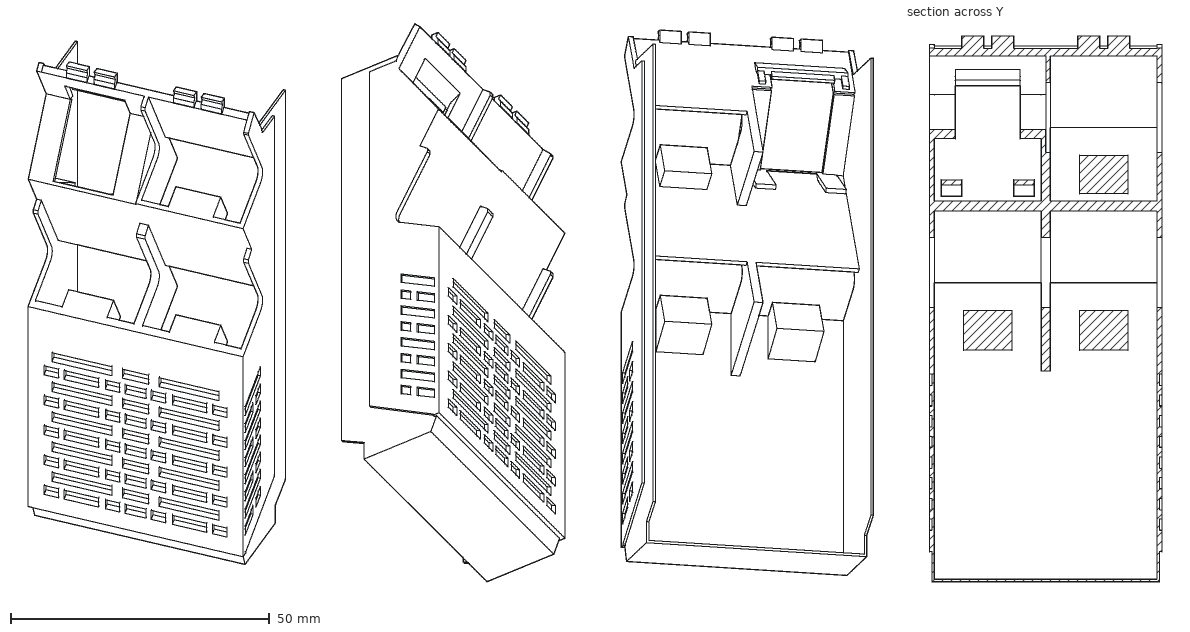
import cadquery as cq
import math

WIDTH = 45.0
DEPTH = 22.76
HEIGHT = 105.49

SKIN = 0.5
LINER = 0.5
FRONT_WALL = 1.4
PLATE = 1.0
RIB_HALF = 0.9
FLOOR = 0.5

HALF = WIDTH / 2
LINER_OUT = HALF - SKIN
LINER_IN = LINER_OUT - LINER

TILT = math.radians(30)
RISE = math.tan(TILT)
ALONG_Y = math.sin(TILT)
ALONG_Z = math.cos(TILT)

CELL_PITCH = 30.0
LOWER_Z = 50.19
UPPER_Z = LOWER_Z + CELL_PITCH
PLATE_END = 7.58
TIP_Y = 2.72
TIP_LOW = 20.17
TIP_HIGH = 20.97
TIP_ROOT_Y = 4.4
TIP_ROOT = CELL_PITCH - TIP_ROOT_Y / RISE
CELL_ROUND = 2.3
RIB_REAR_Y = 19.2
UPPER_RIB_FOOT_Y = 6.0

TOP_FRONT_Y = 5.6
TOP_Z = 103.85
PLATE_TOP = (5.44, 103.55)
LINER_TOP = 98.13
SKIN_REAR_Y = 16.0
SKIN_TOP = 96.43
SKIN_TOP_Y = 9.92
SKIN_LOW_Z = 12.3
PLATE_BACK_Y = 9.12
FRONT_LOW_Z = 3.37
LINER_FRONT_Y = 0.9
FOOT_FRONT_Y = 2.24
FOOT_REAR_Y = 17.6
FOOT_REAR_Z = 4.2
LINER_REAR_Z = 7.0

WINDOW_PLATE_Z = 79.9
WINDOW_PLATE_TOP_Z = 94.19
WINDOW_WIDTH = 12.5
WINDOW_X = -11.2
WINDOW_LOW = 80.5
WINDOW_HIGH = 99.05

COLLAR_WIDTH = 18.0
ROOF_HEIGHT = 1.35
ROOF_END_Y = 9.9
HOOK_WIDTH = 1.3
HOOK_LENGTH = 2.7
LIP_LENGTH = 1.3
LIP_DEPTH = 0.2
ARM_LENGTH = 9.8
ARM_THICKNESS = 0.9
ARM_GAP = 10.0

BLOCK_X = -WINDOW_X
BLOCK_WIDTH = 9.4
BLOCK_REAR_Y = 4.7
BLOCK_LENGTH = 7.0

CLIP_WIDTH = 4.28
CLIP_CENTERS = (8.3, 14.1)
CLIP_FRONT_Y = 4.3
CLIP_REAR_Y = 5.76
CLIP_LOW_Z = 102.6
CLIP_GROOVE = 0.45
CLIP_GROOVE_Z = 104.65
CLIP_GROOVE_HALF = HEIGHT - CLIP_GROOVE_Z

SLOT_HEIGHT = 2.1
SLOT_ROWS_FRONT = 10
SLOT_PITCH_FRONT = 3.5
SLOT_TOP_FRONT = 40.7
SLOT_DEPTH_FRONT = 0.9
WIDE_SLOTS = ((0, 5.5), (WINDOW_X, WINDOW_WIDTH), (-WINDOW_X, WINDOW_WIDTH))
NARROW_SLOTS = ((0, 4.4), (-4.8, 3.0), (4.8, 3.0), (-11.3, 7.2), (11.3, 7.2), (-17.6, 3.0), (17.6, 3.0))
SLOT_ROWS_SIDE = 8
SLOT_PITCH_SIDE = 4.0
SLOT_TOP_SIDE = 37.2
LONG_SLOTS = ((1.12, 8.8),)
SHORT_SLOTS = ((1.12, 5.12), (6.56, 8.8))

CLEAR = 5.0


def prism(points, x0, x1):
    """Extrude a closed (Y, Z) outline from x0 to x1."""
    return cq.Workplane("YZ", origin=(x0, 0, 0)).polyline(points).close().extrude(x1 - x0)


def plate_y(cell_z, z):
    """Y of the front face of the 60 degree plate above a cell."""
    return (cell_z + CELL_PITCH - z) * RISE


def plate_back_y(cell_z, z):
    return plate_y(cell_z, z) + PLATE / ALONG_Z


def window_plate_low():
    """Lower front edge of the windowed plate, on the face of the middle plate."""
    return plate_y(LOWER_Z, WINDOW_PLATE_Z), WINDOW_PLATE_Z


def window_plate_top():
    """Upper front edge of the windowed plate, on the face of the top plate."""
    return plate_y(UPPER_Z, WINDOW_PLATE_TOP_Z), WINDOW_PLATE_TOP_Z


def window_normal():
    """Unit (Y, Z) vector pointing rearward out of the windowed plate."""
    low_y, low_z = window_plate_low()
    top_y, top_z = window_plate_top()
    length = math.hypot(top_y - low_y, top_z - low_z)
    return (top_z - low_z) / length, (low_y - top_y) / length


def window_sill():
    """Front edge of the window sill."""
    low_y, low_z = window_plate_low()
    top_y, top_z = window_plate_top()
    share = (WINDOW_LOW - low_z) / (top_z - low_z)
    return low_y + share * (top_y - low_y), WINDOW_LOW


def front_top_edge():
    """Points of the wall outline from the front base line to the top of the slanted end."""
    slope = (TOP_Z - LOWER_Z - CELL_PITCH - TIP_ROOT) / (TOP_FRONT_Y - TIP_ROOT_Y)
    return [(0, TOP_Z - slope * TOP_FRONT_Y), (TOP_FRONT_Y, TOP_Z)]


def liner(x0):
    outline = front_top_edge() + [
        (PLATE_BACK_Y, LINER_TOP),
        (DEPTH, LINER_TOP),
        (DEPTH, LINER_REAR_Z),
        (FOOT_REAR_Y, FOOT_REAR_Z),
        (FOOT_REAR_Y, 0),
        (FOOT_FRONT_Y, 0),
        (LINER_FRONT_Y, FRONT_LOW_Z),
        (0, FRONT_LOW_Z),
    ]
    return prism(outline, x0, x0 + LINER)


def skin(x0):
    outline = front_top_edge() + [
        (PLATE_BACK_Y, LINER_TOP),
        (SKIN_TOP_Y, SKIN_TOP),
        (SKIN_REAR_Y, SKIN_TOP),
        (SKIN_REAR_Y, SKIN_LOW_Z),
        (LINER_FRONT_Y, FRONT_LOW_Z),
        (0, FRONT_LOW_Z),
    ]
    return prism(outline, x0, x0 + SKIN)


def front_wall():
    outline = [
        (0, FRONT_LOW_Z),
        (0, LOWER_Z),
        (FRONT_WALL, LOWER_Z + FRONT_WALL * RISE),
        (FRONT_WALL, FRONT_LOW_Z),
    ]
    return prism(outline, -HALF, HALF)


def foot():
    outline = [
        (LINER_FRONT_Y, FRONT_LOW_Z),
        (FOOT_FRONT_Y, 0),
        (FOOT_REAR_Y, 0),
        (FOOT_REAR_Y, FLOOR),
        (FOOT_FRONT_Y + FLOOR, FLOOR),
        (FRONT_WALL, FRONT_LOW_Z),
    ]
    return prism(outline, -LINER_OUT, LINER_OUT)


def rib_lower_z(cell_z, y):
    """Height of the 30 degree lower edge of a rib."""
    rear_z = cell_z + CELL_PITCH - (RIB_REAR_Y - PLATE / ALONG_Z) / RISE
    return rear_z - (RIB_REAR_Y - y) * RISE


def rib(cell_z, foot_y):
    """Central rib: rear corner square to the plate, lower edge ending at foot_y."""
    top_z = cell_z + TIP_ROOT
    outline = [
        (foot_y, rib_lower_z(cell_z, foot_y)),
        (RIB_REAR_Y, rib_lower_z(cell_z, RIB_REAR_Y)),
        (plate_back_y(cell_z, top_z), top_z),
        (TIP_Y, top_z),
        (0, cell_z + TIP_LOW),
        (0, cell_z),
    ]
    return prism(outline, -RIB_HALF, RIB_HALF)


def cell_opening(cell_z, x0, x1):
    """Space in front of the side walls and rib of one cell, with a rounded inner corner."""
    corner_y = (TIP_Y + TIP_LOW * RISE) / (1 + RISE * RISE)
    corner_z = cell_z + corner_y * RISE
    outline = [
        (-CLEAR, cell_z - CLEAR * RISE),
        (corner_y, corner_z),
        (TIP_Y, cell_z + TIP_LOW),
        (TIP_Y, cell_z + TIP_HIGH),
        (TIP_ROOT_Y, cell_z + TIP_ROOT),
        (0, cell_z + CELL_PITCH),
        (-CLEAR, cell_z + CELL_PITCH),
    ]
    opening = prism(outline, x0, x1)
    inner_corner = cq.selectors.NearestToPointSelector(((x0 + x1) / 2, corner_y, corner_z))
    return opening.edges("|X").edges(inner_corner).fillet(CELL_ROUND)


def plate(cell_z, x0, x1, top_front, top_back, end_z):
    """60 degree plate from its upper edge down to end_z, square at the lower end."""
    end_y = plate_y(cell_z, end_z)
    outline = [
        top_front,
        (end_y, end_z),
        (end_y + PLATE * ALONG_Z, end_z + PLATE * ALONG_Y),
        top_back,
    ]
    return prism(outline, x0, x1)


def middle_plate():
    ledge_y = PLATE * ALONG_Z
    top_back = (ledge_y, UPPER_Z + PLATE * ALONG_Y)
    return plate(LOWER_Z, -HALF, HALF, (0, UPPER_Z), top_back, LOWER_Z + PLATE_END)


def top_plate():
    """Full plate on the right; on the left of the rib it stops level with the windowed plate."""
    front_z = UPPER_Z + TIP_ROOT
    top_front = (TIP_ROOT_Y, front_z)
    end_z = UPPER_Z + PLATE_END
    full = plate(UPPER_Z, -HALF, HALF, top_front, PLATE_TOP, end_z)
    left_end_z = WINDOW_PLATE_TOP_Z
    lower_left = [(0, end_z), (DEPTH, end_z), (DEPTH, left_end_z), (0, left_end_z)]
    return full.cut(prism(lower_left, -HALF, -RIB_HALF))


def ledge_block(x, cell_z, foot_point):
    """Block under a ledge; its rear face runs down and back at 60 degrees."""
    rear_z = cell_z + BLOCK_REAR_Y * RISE
    outline = [
        (0, cell_z),
        (BLOCK_REAR_Y, rear_z),
        (BLOCK_REAR_Y + BLOCK_LENGTH * ALONG_Y, rear_z - BLOCK_LENGTH * ALONG_Z),
        foot_point,
    ]
    return prism(outline, x - BLOCK_WIDTH / 2, x + BLOCK_WIDTH / 2)


def window_clearance():
    """Everything in front of the windowed plate and of the top plate on the left side."""
    top_z = UPPER_Z + TIP_ROOT
    outline = [
        window_plate_low(),
        window_plate_top(),
        (plate_y(UPPER_Z, top_z), top_z),
        (TIP_Y, TOP_Z),
        (-CLEAR, TOP_Z),
        (-CLEAR, WINDOW_PLATE_Z),
    ]
    return prism(outline, -HALF, 0)


def window_plate():
    back_y, back_z = window_normal()
    low_y, low_z = window_plate_low()
    top_y, top_z = window_plate_top()
    outline = [
        (low_y, low_z),
        (top_y, top_z),
        (top_y + PLATE * back_y, top_z + PLATE * back_z),
        (low_y + PLATE * back_y, low_z + PLATE * back_z),
    ]
    return prism(outline, -HALF, 0)


def roof_under_z(y):
    """Underside of the roof: square to the windowed plate, falling rearward from the window top."""
    back_y, back_z = window_normal()
    return WINDOW_HIGH + (y - plate_y(UPPER_Z, WINDOW_HIGH)) * back_z / back_y


def window_opening():
    """Window passage below the roof slope, through both left plates."""
    back_y, back_z = window_normal()
    front_y = plate_y(UPPER_Z, WINDOW_HIGH) - PLATE
    rear_y = ROOF_END_Y + 2 * PLATE
    sill_y, sill_z = window_sill()
    outline = [
        (front_y, roof_under_z(front_y)),
        (rear_y, roof_under_z(rear_y)),
        (rear_y, WINDOW_PLATE_TOP_Z - PLATE),
        (sill_y + 2 * PLATE * back_y, sill_z + 2 * PLATE * back_z),
        (sill_y - PLATE * back_y, sill_z - PLATE * back_z),
    ]
    return prism(outline, WINDOW_X - WINDOW_WIDTH / 2, WINDOW_X + WINDOW_WIDTH / 2)


def roof_drop(x, width, length):
    """Strip hanging from the rear end of the roof, parallel to the top plate."""
    front_y = ROOF_END_Y - LIP_DEPTH
    front_z = roof_under_z(front_y)
    rear_z = roof_under_z(ROOF_END_Y) + ROOF_HEIGHT / 2
    outline = [
        (front_y, front_z),
        (ROOF_END_Y, rear_z),
        (ROOF_END_Y + length * ALONG_Y, rear_z - length * ALONG_Z),
        (front_y + length * ALONG_Y, front_z - length * ALONG_Z),
    ]
    return prism(outline, x - width / 2, x + width / 2)


def roof():
    """Roof above the window with a lip across the window and a hook at each end."""
    front_y = plate_y(UPPER_Z, WINDOW_HIGH) + PLATE / 2
    outline = [
        (front_y, roof_under_z(front_y)),
        (ROOF_END_Y, roof_under_z(ROOF_END_Y)),
        (ROOF_END_Y, roof_under_z(ROOF_END_Y) + ROOF_HEIGHT),
        (front_y, roof_under_z(front_y) + ROOF_HEIGHT),
    ]
    body = prism(outline, WINDOW_X - COLLAR_WIDTH / 2, WINDOW_X + COLLAR_WIDTH / 2)
    body = body.union(roof_drop(WINDOW_X, WINDOW_WIDTH, LIP_LENGTH))
    hook_shift = (COLLAR_WIDTH - HOOK_WIDTH) / 2
    for side in (-1, 1):
        body = body.union(roof_drop(WINDOW_X + side * hook_shift, HOOK_WIDTH, HOOK_LENGTH))
    return body


def sill_arms():
    """Two arms running square off the back of the windowed plate, level with the sill."""
    back_y, back_z = window_normal()
    sill_y, sill_z = window_sill()
    start_y = sill_y + ARM_THICKNESS * back_y
    start_z = sill_z + ARM_THICKNESS * back_z
    end_y = sill_y + ARM_LENGTH * back_y
    end_z = sill_z + ARM_LENGTH * back_z
    fall_y = ARM_THICKNESS * back_z
    fall_z = -ARM_THICKNESS * back_y
    outline = [
        (start_y, start_z),
        (end_y, end_z),
        (end_y + fall_y, end_z + fall_z),
        (start_y + fall_y, start_z + fall_z),
    ]
    left = prism(outline, WINDOW_X - COLLAR_WIDTH / 2, WINDOW_X - ARM_GAP / 2)
    right = prism(outline, WINDOW_X + ARM_GAP / 2, WINDOW_X + COLLAR_WIDTH / 2)
    return left.union(right)


def clip(x):
    outline = [
        (CLIP_FRONT_Y, CLIP_LOW_Z),
        (CLIP_FRONT_Y, CLIP_GROOVE_Z - CLIP_GROOVE_HALF),
        (CLIP_FRONT_Y + CLIP_GROOVE, CLIP_GROOVE_Z),
        (CLIP_FRONT_Y, HEIGHT),
        (CLIP_REAR_Y, HEIGHT),
        (CLIP_REAR_Y, CLIP_LOW_Z),
    ]
    return prism(outline, x - CLIP_WIDTH / 2, x + CLIP_WIDTH / 2)


def slot(y0, y1, top_z, x0, x1):
    """Slot rising rearward at 30 degrees; top_z is its upper edge at Y = 0."""
    outline = [
        (y0, top_z + y0 * RISE),
        (y1, top_z + y1 * RISE),
        (y1, top_z + y1 * RISE - SLOT_HEIGHT),
        (y0, top_z + y0 * RISE - SLOT_HEIGHT),
    ]
    return prism(outline, x0, x1)


def front_slots():
    cutters = cq.Workplane()
    for row in range(SLOT_ROWS_FRONT):
        top_z = SLOT_TOP_FRONT - row * SLOT_PITCH_FRONT
        pattern = NARROW_SLOTS if row % 2 else WIDE_SLOTS
        for x, width in pattern:
            cutters.add(slot(0, SLOT_DEPTH_FRONT, top_z, x - width / 2, x + width / 2))
    return cutters.combine(glue=True)


def side_slots():
    cutters = cq.Workplane()
    for row in range(SLOT_ROWS_SIDE):
        top_z = SLOT_TOP_SIDE - row * SLOT_PITCH_SIDE
        pattern = SHORT_SLOTS if row % 2 else LONG_SLOTS
        for y0, y1 in pattern:
            cutters.add(slot(y0, y1, top_z, -HALF, -LINER_OUT))
            cutters.add(slot(y0, y1, top_z, LINER_OUT, HALF))
    return cutters.combine(glue=True)


body = liner(-LINER_OUT).union(liner(LINER_IN)).union(skin(-HALF)).union(skin(LINER_OUT))
body = body.union(rib(UPPER_Z, UPPER_RIB_FOOT_Y)).union(rib(LOWER_Z, LINER_FRONT_Y))
body = body.cut(cell_opening(LOWER_Z, -HALF, HALF))
body = body.cut(cell_opening(UPPER_Z, 0, HALF))

body = body.union(front_wall()).union(foot()).union(middle_plate())
body = body.cut(window_clearance())
body = body.union(top_plate()).union(window_plate()).cut(window_opening())
body = body.union(roof()).union(sill_arms())

block_drop = BLOCK_LENGTH / ALONG_Z
for block_x in (-BLOCK_X, BLOCK_X):
    body = body.union(ledge_block(block_x, LOWER_Z, (LINER_FRONT_Y, LOWER_Z - block_drop)))
upper_foot = (BLOCK_LENGTH * ALONG_Y, UPPER_Z - BLOCK_LENGTH * ALONG_Z)
body = body.union(ledge_block(BLOCK_X, UPPER_Z, upper_foot))

for center in CLIP_CENTERS:
    body = body.union(clip(center)).union(clip(-center))

result = body.cut(front_slots()).cut(side_slots())